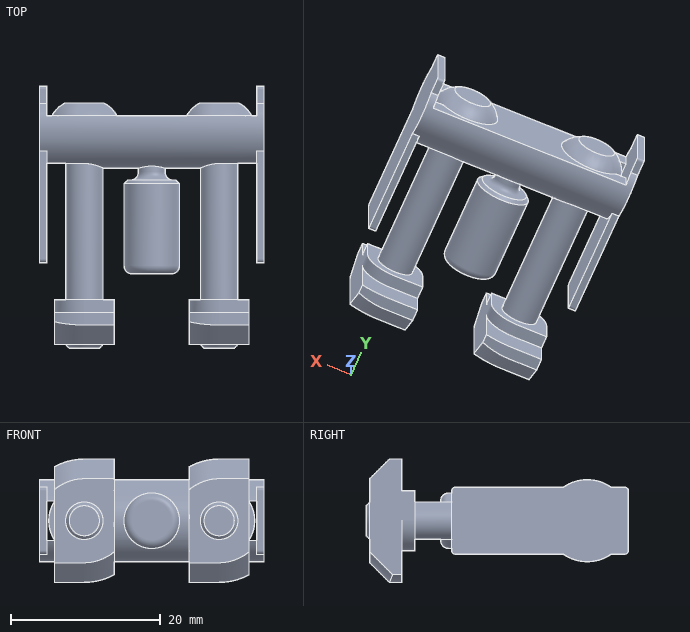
import cadquery as cq
import math


overall_width = 30.0
overall_depth = 35.0
barrel_radius = 5.5
barrel_flat_y = 1.55
plate_thickness = 1.0
plate_height = 8.95
plate_back_y = barrel_radius
plate_front_y = -18.1
plate_corner_radius = 0.5

bolt_offset = 9.0
bolt_diameter = 5.0
bolt_tip_y = plate_back_y - overall_depth
bolt_tip_chamfer = 0.5
slot_width = 5.2
head_top_y = 3.25
head_height = 2.75
head_base_radius = 4.75
head_mid_radius = 3.9
head_mid_height = 1.75
head_top_radius = 2.6

nut_width = 8.0
nut_height = 16.5
nut_front_y = bolt_tip_y + bolt_tip_chamfer
nut_shoulder_y = -24.75
nut_neck_y = -23.0
nut_bevel = 2.62

knob_diameter = 7.42
knob_rear_y = -7.05
knob_front_y = -19.55
knob_front_fillet = 1.05
knob_rear_chamfer = 0.5
stem_radius = 1.82
stem_fillet = 1.0

inner_half_length = overall_width / 2 - plate_thickness


def y_cylinder(x, radius, y_start, y_end):
    """Cylinder along Y from y_start forward (toward -Y) to y_end."""
    return (
        cq.Workplane("XZ", origin=(x, y_start, 0))
        .circle(radius)
        .extrude(y_start - y_end)
    )


def make_barrel():
    """Round bar between the plates, flat at the rear, slotted out to each plate."""
    bar = cq.Workplane("YZ").circle(barrel_radius).extrude(inner_half_length, both=True)
    flat_cut = cq.Workplane("XY", origin=(0, barrel_flat_y, 0)).box(
        overall_width, barrel_radius, 2 * barrel_radius, centered=(True, False, True)
    )
    bar = bar.cut(flat_cut)
    slot_length = inner_half_length - bolt_offset
    for side in (-1, 1):
        round_end = y_cylinder(side * bolt_offset, slot_width / 2, barrel_radius, -barrel_radius)
        straight = cq.Workplane("XY").box(slot_length, 2 * barrel_radius, slot_width)
        straight = straight.translate((side * (bolt_offset + slot_length / 2), 0, 0))
        bar = bar.cut(round_end).cut(straight)
    return bar


def make_plate(x_start):
    """Side plate with a disc the size of the barrel at its rear."""
    plate = (
        cq.Workplane("YZ", origin=(x_start, (plate_back_y + plate_front_y) / 2, 0))
        .rect(plate_back_y - plate_front_y, plate_height)
        .extrude(plate_thickness)
        .edges("|X")
        .fillet(plate_corner_radius)
    )
    disc = cq.Workplane("YZ", origin=(x_start, 0, 0)).circle(barrel_radius).extrude(plate_thickness)
    return plate.union(disc)


def make_bolt(x):
    """Domed head and shank with a chamfered tip."""
    head_base_y = head_top_y - head_height
    shank = y_cylinder(x, bolt_diameter / 2, head_base_y, bolt_tip_y)
    shank = shank.faces("<Y").chamfer(bolt_tip_chamfer)
    head = (
        cq.Workplane("XY")
        .moveTo(0, head_base_y)
        .lineTo(head_base_radius, head_base_y)
        .threePointArc((head_mid_radius, head_base_y + head_mid_height), (head_top_radius, head_top_y))
        .lineTo(0, head_top_y)
        .close()
        .revolve(360, (0, 0, 0), (0, 1, 0))
        .translate((x, 0, 0))
    )
    return shank.union(head)


def arc_drop(x, radius):
    """How far an arc that is level at x = 0 has fallen at the given x."""
    return radius - math.sqrt(radius**2 - x**2)


def nut_outline(y_start, height, y_end):
    """Block from y_start to y_end, rounded at its upper left and lower right corners.

    Each rounding is an arc about the bolt axis, from mid-width to the side.
    """
    half_width = nut_width / 2
    half_height = height / 2
    mid_x = half_width * math.sqrt(0.5)
    mid_z = half_height - arc_drop(mid_x, half_height)
    side_z = half_height - arc_drop(half_width, half_height)
    return (
        cq.Workplane("XZ", origin=(0, y_start, 0))
        .moveTo(half_width, half_height)
        .lineTo(0, half_height)
        .threePointArc((-mid_x, mid_z), (-half_width, side_z))
        .lineTo(-half_width, -half_height)
        .lineTo(0, -half_height)
        .threePointArc((mid_x, -mid_z), (half_width, -side_z))
        .close()
        .extrude(y_start - y_end)
    )


def make_bevel_envelope():
    """Space below a 45 degree slope that curves like the rounded top of the foot."""
    half_width = nut_width / 2
    mid_x = half_width / 2
    arc_radius = nut_height / 2
    reach = 2 * nut_height
    slope = cq.Plane(
        origin=(0, nut_front_y, nut_height / 2 - nut_bevel), xDir=(1, 0, 0), normal=(0, -1, -1)
    )
    return (
        cq.Workplane(slope)
        .moveTo(half_width, 0)
        .lineTo(0, 0)
        .threePointArc(
            (-mid_x, -arc_drop(mid_x, arc_radius)),
            (-half_width, -arc_drop(half_width, arc_radius)),
        )
        .lineTo(-half_width, -reach)
        .lineTo(half_width, -reach)
        .close()
        .extrude(reach, both=True)
    )


def make_nut(x):
    """T-nut: square neck and taller foot, bevelled alike at both ends."""
    neck = nut_outline(nut_neck_y, nut_width, nut_shoulder_y)
    foot = nut_outline(nut_shoulder_y, nut_height, nut_front_y)
    envelope = make_bevel_envelope()
    foot = foot.intersect(envelope)
    foot = foot.intersect(envelope.rotate((0, 0, 0), (0, 1, 0), 180))
    return neck.union(foot).translate((x, 0, 0))


def make_knob():
    """Rounded cylinder on a flared stem that runs back into the barrel."""
    body = y_cylinder(0, knob_diameter / 2, knob_rear_y, knob_front_y)
    body = body.faces("<Y").edges().fillet(knob_front_fillet)
    body = body.faces(">Y").chamfer(knob_rear_chamfer)
    flare_corner = stem_fillet * (1 - math.sqrt(0.5))
    flare_start_y = knob_rear_y + stem_fillet
    stem = (
        cq.Workplane("XY")
        .moveTo(0, knob_rear_y)
        .lineTo(stem_radius + stem_fillet, knob_rear_y)
        .threePointArc(
            (stem_radius + flare_corner, knob_rear_y + flare_corner),
            (stem_radius, flare_start_y),
        )
        .lineTo(stem_radius, 0)
        .lineTo(0, 0)
        .close()
        .revolve(360, (0, 0, 0), (0, 1, 0))
    )
    return body.union(stem)


result = make_barrel()
result = result.union(make_plate(-overall_width / 2))
result = result.union(make_plate(inner_half_length))
for bolt_x in (-bolt_offset, bolt_offset):
    result = result.union(make_bolt(bolt_x)).union(make_nut(bolt_x))
result = result.union(make_knob())